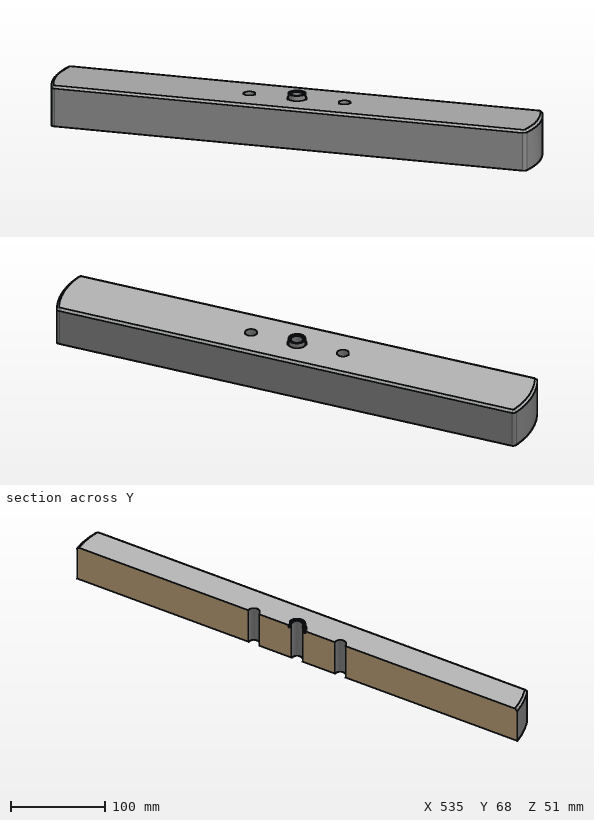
import cadquery as cq

LENGTH = 535.0
WIDTH = 68.0
BODY_HEIGHT = 45.5
END_BULGE = 6.5
CORNER_RADIUS = 4.5
TOP_CHAMFER = 2.5

HUB_DIAMETER = 18.0
HUB_RISE = 5.5
BORE_DIAMETER = 13.0
BORE_CHAMFER = 1.0
GROOVE_DIAMETER = 20.5
GROOVE_DEPTH = 3.0

HOLE_DIAMETER = 13.0
HOLE_OFFSET = 52.5


def bar_body():
    """Long bar with bowed ends, rounded corners and a chamfered top rim."""
    tip_x = LENGTH / 2
    corner_x = tip_x - END_BULGE
    side_y = WIDTH / 2
    outline = (
        cq.Workplane("XY")
        .moveTo(-corner_x, -side_y)
        .lineTo(corner_x, -side_y)
        .threePointArc((tip_x, 0), (corner_x, side_y))
        .lineTo(-corner_x, side_y)
        .threePointArc((-tip_x, 0), (-corner_x, -side_y))
        .close()
    )
    body = outline.extrude(BODY_HEIGHT).edges("|Z").fillet(CORNER_RADIUS)
    return body.faces(">Z").edges().chamfer(TOP_CHAMFER)


def clearance_groove():
    """Ring-shaped cutter that frees the foot of the hub from the top face."""
    return (
        cq.Workplane("XY", origin=(0, 0, BODY_HEIGHT - GROOVE_DEPTH))
        .circle(GROOVE_DIAMETER / 2)
        .circle(HUB_DIAMETER / 2)
        .extrude(GROOVE_DEPTH)
    )


def hub():
    """Round boss standing on the top face."""
    return (
        cq.Workplane("XY", origin=(0, 0, BODY_HEIGHT))
        .circle(HUB_DIAMETER / 2)
        .extrude(HUB_RISE)
    )


def hub_bore():
    """Round cutter through the hub and the bar, flared at its upper mouth."""
    hub_top = BODY_HEIGHT + HUB_RISE
    bore_radius = BORE_DIAMETER / 2
    flare = cq.Solid.makeCone(
        bore_radius,
        bore_radius + BORE_CHAMFER,
        BORE_CHAMFER,
        pnt=cq.Vector(0, 0, hub_top - BORE_CHAMFER),
    )
    return cq.Workplane("XY").circle(bore_radius).extrude(hub_top).union(cq.Workplane(flare))


def screw_holes():
    """Two round cutters through the full height of the bar."""
    return (
        cq.Workplane("XY")
        .pushPoints([(-HOLE_OFFSET, 0), (HOLE_OFFSET, 0)])
        .circle(HOLE_DIAMETER / 2)
        .extrude(BODY_HEIGHT)
    )


result = (
    bar_body()
    .union(hub())
    .cut(clearance_groove())
    .cut(hub_bore())
    .cut(screw_holes())
)